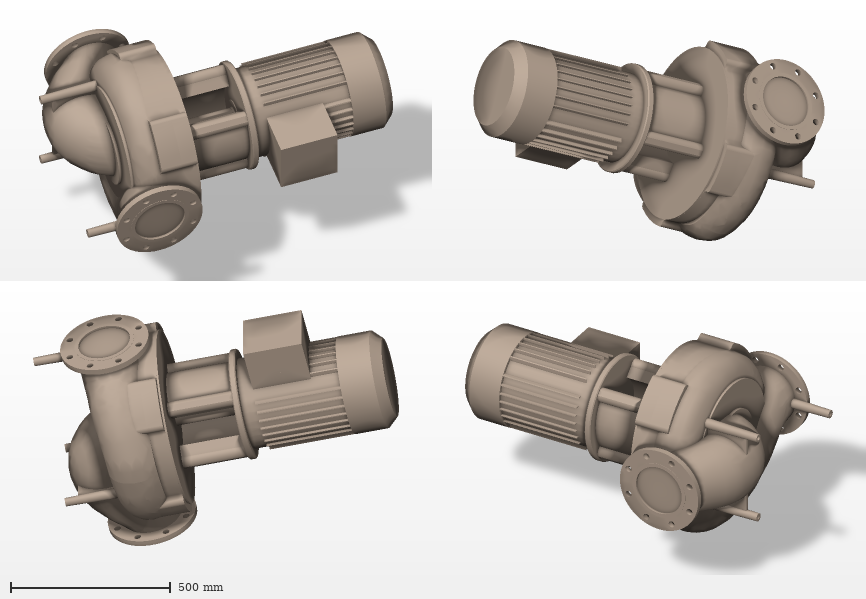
import cadquery as cq
import math


FAN_COVER_END = 844.0
FAN_COVER_SHOULDER = 812.0
FAN_COVER_START = 705.0
TERMINAL_BOX_END = 616.0
FIN_START = 429.0
MOTOR_FLANGE_TOP = 384.0
MOTOR_FLANGE_FACE = 364.0
REGISTER_FACE = 360.0
COLLAR_END = 354.0
PLATE_TOP = 156.0
PLATE_BOTTOM = 150.0
CASING_JOINT = 98.0
LUG_BOTTOM = 30.0
CASING_FACE = -51.0
BOSS_FACE = -60.0
RIB_END = -190.0
FEET_END = -231.0

FAN_COVER_RADIUS = 156.0
FAN_COVER_TOP_RADIUS = 126.0
MOTOR_RADIUS = 144.0
FIN_RADIUS = 155.0
FIN_WIDTH = 3.0
FIN_PITCH = 28.0
FINS_PER_SIDE = 7
MOTOR_FLANGE_RADIUS = 175.0
MOTOR_FLANGE_CHAMFER = 3.0
REGISTER_RADIUS = 54.0

TERMINAL_PAD_INNER_X = 109.0
TERMINAL_BOX_INNER_X = 157.0
TERMINAL_BOX_OUTER_X = 252.0
TERMINAL_BOX_HEIGHT = 181.0

SHAFT_RADIUS = 29.0
COLLAR_RADIUS = 31.0

PLATE_RADIUS = 278.0
WALL_INNER_RADIUS = 100.0
WALL_OUTER_RADIUS = 139.0
WALL_END_OFFSET = 22.0
ROD_RADIUS = 24.0
ROD_CIRCLE_RADIUS = 145.0
ROD_FLAT_DISTANCE = 167.0

LUG_RADIUS = 302.0
LUG_HALF_WIDTH = 84.0
LUG_FILLET = 16.0

CASING_RADIUS = PLATE_RADIUS
CASING_LOWER_RADIUS = 268.0
CASING_FACE_RADIUS = 208.0
BOSS_RADIUS = 113.0
VOLUTE_LEVEL = LUG_BOTTOM
VOLUTE_START = 5
VOLUTE_END = 270
VOLUTE_SECTIONS = 8
TOP_OUTER_RADIUS = 279.0
TOP_TUBE_RADIUS = 71.0
OUTER_GROWTH = 39.0 / 180
TUBE_GROWTH = 20.0 / 180

SUCTION_FACE_X = -370.0
DISCHARGE_FACE_X = 330.0
PIPE_FLANGE_RADIUS = 142.0
PIPE_FLANGE_THICKNESS = 19.0
RAISED_FACE_RADIUS = 96.0
RAISED_FACE_HEIGHT = 1.0
RECESS_RADIUS = 83.0
RECESS_DEPTH = 9.0
BOLT_CIRCLE_RADIUS = 119.0
BOLT_HOLE_RADIUS = 11.0
BOLT_COUNT = 8
PIPE_END_RADIUS = 99.0
PIPE_END_DEPTH = 14.0

DISCHARGE_BEND = [
    ((99.0, 24.0, -199.0), (0.89, -0.05, 0.45), 91.0),
    ((162.0, 16.0, -143.0), (0.68, -0.1, 0.73), 95.0),
    ((226.0, 9.0, -55.0), (0.8, -0.1, 0.6), 98.0),
]

SUCTION_FALL = ((-237.0, -65.0, 0), (0.88, -0.47, 0), 109.0)
ELBOW_X = -143.0
ELBOW_Y = 23.0
ELBOW_BEND_RADIUS = 122.0
ELBOW_SECTIONS = [(0, 117.0), (40, 116.0), (75, 112.0)]

FRONT_FOOT_X = -146.0
FRONT_FOOT_Z = 144.0
REAR_FOOT_X = 303.0
FOOT_END_RADIUS = 13.5
FOOT_ROOT_RADIUS = 17.7
FOOT_ROOT = 0.0
FOOT_HOLE_RADIUS = 7.0
FOOT_HOLE_DEPTH = 32.0
RIB_WIDTH = 11.0
RIB_INNER_Z = 54.0


def cylinder(radius, start, end, x=0, z=0):
    """A cylinder along Y between two levels."""
    solid = cq.Solid.makeCylinder(radius, end - start, cq.Vector(x, start, z), cq.Vector(0, 1, 0))
    return cq.Workplane(solid)


def block(x_range, y_range, z_range):
    """A box given by its limits along each axis."""
    sides = [high - low for low, high in (x_range, y_range, z_range)]
    corner = cq.Vector(x_range[0], y_range[0], z_range[0])
    return cq.Workplane(cq.Solid.makeBox(*sides, corner))


def turned(body, degrees):
    """A body turned about the pump axis."""
    return body.rotate((0, 0, 0), (0, 1, 0), degrees)


def tube(sections, seam_side):
    """A smooth solid through circles, each given as (centre, direction, radius), with its seam on one side."""
    wires = []
    for centre, direction, radius in sections:
        plane = cq.Plane(origin=centre, xDir=seam_side, normal=direction)
        wires.append(cq.Workplane(plane).circle(radius).wires().val())
    return cq.Workplane(cq.Solid.makeLoft(wires))



def make_fan_cover():
    profile = [
        (0, FAN_COVER_START),
        (FAN_COVER_RADIUS, FAN_COVER_START),
        (FAN_COVER_RADIUS, FAN_COVER_SHOULDER),
        (FAN_COVER_TOP_RADIUS, FAN_COVER_END),
        (0, FAN_COVER_END),
    ]
    return cq.Workplane("XY").polyline(profile).close().revolve(360, (0, 0, 0), (0, 1, 0))


def make_fins():
    """Parallel fins, one set standing up and down and one set standing sideways."""
    envelope = cylinder(FIN_RADIUS, FIN_START, FAN_COVER_START)
    levels = (FIN_START, FAN_COVER_START)
    full = (-FIN_RADIUS, FIN_RADIUS)
    fins = []
    for index in range(FINS_PER_SIDE):
        middle = (index - (FINS_PER_SIDE - 1) / 2) * FIN_PITCH
        thickness = (middle - FIN_WIDTH / 2, middle + FIN_WIDTH / 2)
        fins.append(block(thickness, levels, full).intersect(envelope))
        fins.append(block(full, levels, thickness).intersect(envelope))
    return fins


def terminal_block(inner_x, outer_x):
    half = TERMINAL_BOX_HEIGHT / 2
    return block((inner_x, outer_x), (FIN_START, TERMINAL_BOX_END), (-half, half))


def make_motor():
    motor = cylinder(MOTOR_RADIUS, MOTOR_FLANGE_TOP, FAN_COVER_START)
    for fin in make_fins():
        motor = motor.union(fin)
    motor = motor.union(terminal_block(TERMINAL_PAD_INNER_X, TERMINAL_BOX_INNER_X))
    flange = cylinder(MOTOR_FLANGE_RADIUS, MOTOR_FLANGE_FACE, MOTOR_FLANGE_TOP)
    flange = flange.edges("%CIRCLE").chamfer(MOTOR_FLANGE_CHAMFER)
    return motor.union(flange).union(cylinder(REGISTER_RADIUS, REGISTER_FACE, MOTOR_FLANGE_FACE))


def make_terminal_box():
    return terminal_block(TERMINAL_BOX_INNER_X, TERMINAL_BOX_OUTER_X)



def make_shaft():
    collar = cylinder(COLLAR_RADIUS, COLLAR_END, REGISTER_FACE)
    return cylinder(SHAFT_RADIUS, PLATE_TOP, COLLAR_END).union(collar)


def lantern_wall():
    """An arc-shaped wall on the +X side, whose ends run parallel to the 45-degree diagonals."""
    def point(radius, end):
        angle = end * (math.radians(45) + math.asin(WALL_END_OFFSET / radius))
        return (radius * math.cos(angle), radius * math.sin(angle))

    return (
        cq.Workplane("XZ", origin=(0, PLATE_TOP, 0))
        .moveTo(*point(WALL_INNER_RADIUS, -1))
        .lineTo(*point(WALL_OUTER_RADIUS, -1))
        .threePointArc((WALL_OUTER_RADIUS, 0), point(WALL_OUTER_RADIUS, 1))
        .lineTo(*point(WALL_INNER_RADIUS, 1))
        .threePointArc((WALL_INNER_RADIUS, 0), point(WALL_INNER_RADIUS, -1))
        .close()
        .extrude(PLATE_TOP - MOTOR_FLANGE_FACE)
    )


def lantern_rod():
    """A rod on the +X side of the shaft, with a flat along its outermost side."""
    levels = (PLATE_TOP, MOTOR_FLANGE_FACE)
    beyond_flat = block((ROD_FLAT_DISTANCE, ROD_FLAT_DISTANCE + ROD_RADIUS), levels, (-ROD_RADIUS, ROD_RADIUS))
    return cylinder(ROD_RADIUS, *levels, ROD_CIRCLE_RADIUS).cut(beyond_flat)


def make_lantern():
    lantern = cylinder(PLATE_RADIUS, PLATE_BOTTOM, PLATE_TOP)
    for turn in (0, 180):
        lantern = lantern.union(turned(lantern_wall(), turn))
    for turn in (45, 135, 225, 315):
        lantern = lantern.union(turned(lantern_rod(), turn))
    return lantern



def lugged_disc(bottom, top):
    """A disc with four rounded lugs at 45 degrees."""
    disc = cylinder(CASING_RADIUS, bottom, top)
    bar_width = (-LUG_HALF_WIDTH, LUG_HALF_WIDTH)
    bar_length = (-LUG_RADIUS, LUG_RADIUS)
    for turn in (45, -45):
        bar = block(bar_length, (bottom, top), bar_width).intersect(cylinder(LUG_RADIUS, bottom, top))
        disc = disc.union(turned(bar, turn))
    return disc.edges("|Y").fillet(LUG_FILLET)


def make_casing_cover():
    return lugged_disc(CASING_JOINT, PLATE_BOTTOM)


def casing_core():
    profile = [
        (0, CASING_JOINT),
        (CASING_RADIUS, CASING_JOINT),
        (CASING_LOWER_RADIUS, LUG_BOTTOM),
        (CASING_FACE_RADIUS, LUG_BOTTOM),
        (CASING_FACE_RADIUS, CASING_FACE),
        (0, CASING_FACE),
    ]
    core = cq.Workplane("XY").polyline(profile).close().revolve(360, (0, 0, 0), (0, 1, 0))
    return core.union(cylinder(BOSS_RADIUS, BOSS_FACE, CASING_FACE))


def casing_lugs():
    return lugged_disc(LUG_BOTTOM, CASING_JOINT).cut(cylinder(CASING_LOWER_RADIUS, LUG_BOTTOM, CASING_JOINT))


def volute_section(degrees):
    """The volute circle at an angle measured from +X towards +Z."""
    angle = math.radians(degrees)
    past_top = max(degrees - 90, 0)
    radius = TOP_TUBE_RADIUS + TUBE_GROWTH * past_top
    reach = TOP_OUTER_RADIUS + OUTER_GROWTH * past_top - radius
    centre = (reach * math.cos(angle), VOLUTE_LEVEL, reach * math.sin(angle))
    direction = (-math.sin(angle), 0, math.cos(angle))
    return centre, direction, radius


def volute():
    step = (VOLUTE_END - VOLUTE_START) / (VOLUTE_SECTIONS - 1)
    return tube([volute_section(VOLUTE_START + step * index) for index in range(VOLUTE_SECTIONS)], (0, 1, 0))


def discharge_pipe():
    """The pipe that carries the volute on in an S-bend to the +X flange."""
    return tube([
        volute_section(VOLUTE_END),
        *DISCHARGE_BEND,
        ((DISCHARGE_FACE_X - PIPE_END_DEPTH, 0, 0), (1, 0, 0), PIPE_END_RADIUS),
    ], (0, 1, 0))


def elbow_section(degrees, radius):
    """A circle of the suction elbow, at an angle from the bottom of its bend."""
    angle = math.radians(degrees)
    centre = (
        ELBOW_X + ELBOW_BEND_RADIUS * math.sin(angle),
        ELBOW_Y - ELBOW_BEND_RADIUS * math.cos(angle),
        0,
    )
    return centre, (math.cos(angle), math.sin(angle), 0), radius


def suction_pipe():
    """The pipe that dips from the -X flange and turns up into the casing."""
    return tube([
        ((SUCTION_FACE_X + PIPE_END_DEPTH, 0, 0), (1, 0, 0), PIPE_END_RADIUS),
        SUCTION_FALL,
        *[elbow_section(degrees, radius) for degrees, radius in ELBOW_SECTIONS],
    ], (0, 0, -1))


def pipe_flange(face_x, outward):
    """A drilled flange with a raised face, which looks along X in the given sense."""
    def disc(radius, depth_from, depth_to, y=0, z=0):
        base = cq.Vector(face_x - outward * depth_from, y, z)
        axis = cq.Vector(-outward, 0, 0)
        return cq.Workplane(cq.Solid.makeCylinder(radius, depth_to - depth_from, base, axis))

    flange = disc(PIPE_FLANGE_RADIUS, RAISED_FACE_HEIGHT, PIPE_FLANGE_THICKNESS)
    flange = flange.union(disc(RAISED_FACE_RADIUS, 0, PIPE_FLANGE_THICKNESS))
    flange = flange.cut(disc(RECESS_RADIUS, 0, RECESS_DEPTH))
    for index in range(BOLT_COUNT):
        angle = 2 * math.pi * (index + 0.5) / BOLT_COUNT
        y = BOLT_CIRCLE_RADIUS * math.cos(angle)
        z = BOLT_CIRCLE_RADIUS * math.sin(angle)
        flange = flange.cut(disc(BOLT_HOLE_RADIUS, 0, PIPE_FLANGE_THICKNESS, y, z))
    return flange


def foot_cone(x, z):
    length = FOOT_ROOT - FEET_END
    return cq.Workplane(cq.Solid.makeCone(
        FOOT_END_RADIUS, FOOT_ROOT_RADIUS, length, cq.Vector(x, FEET_END, z), cq.Vector(0, 1, 0)
    ))


def foot_rib(side):
    """A web between the suction pipe and the foot beside it, shaped to the foot."""
    z_range = sorted((side * RIB_INNER_Z, side * FRONT_FOOT_Z))
    x_range = (FRONT_FOOT_X - RIB_WIDTH / 2, FRONT_FOOT_X + RIB_WIDTH / 2)
    web = block(x_range, (RIB_END, CASING_FACE), z_range)
    return web.cut(foot_cone(FRONT_FOOT_X, side * FRONT_FOOT_Z))


def make_casing():
    """The volute casing with both pipes and flanges, kept below the joint with its cover."""
    above_joint = cylinder(LUG_RADIUS + PIPE_FLANGE_RADIUS, CASING_JOINT, PLATE_TOP)
    discharge = discharge_pipe().cut(above_joint).union(pipe_flange(DISCHARGE_FACE_X, 1))
    suction = suction_pipe().union(pipe_flange(SUCTION_FACE_X, -1))
    spiral = volute().cut(above_joint)
    casing = casing_core().union(casing_lugs()).union(spiral)
    return casing.union(discharge).union(suction)



def make_foot(x, z, casing):
    hole = cylinder(FOOT_HOLE_RADIUS, FEET_END, FEET_END + FOOT_HOLE_DEPTH, x, z)
    return foot_cone(x, z).cut(hole).cut(casing)


fan_cover = make_fan_cover()
motor = make_motor()
terminal_box = make_terminal_box()
shaft = make_shaft()
lantern = make_lantern()
casing_cover = make_casing_cover()
casing_without_ribs = make_casing()

foot_places = [(FRONT_FOOT_X, FRONT_FOOT_Z), (FRONT_FOOT_X, -FRONT_FOOT_Z), (REAR_FOOT_X, 0)]
feet = [make_foot(x, z, casing_without_ribs) for x, z in foot_places]

casing = casing_without_ribs
for side in (-1, 1):
    casing = casing.union(foot_rib(side))

bodies = [fan_cover, motor, terminal_box, shaft, lantern, casing_cover, casing, *feet]
result = cq.Compound.makeCompound([body.val() for body in bodies])